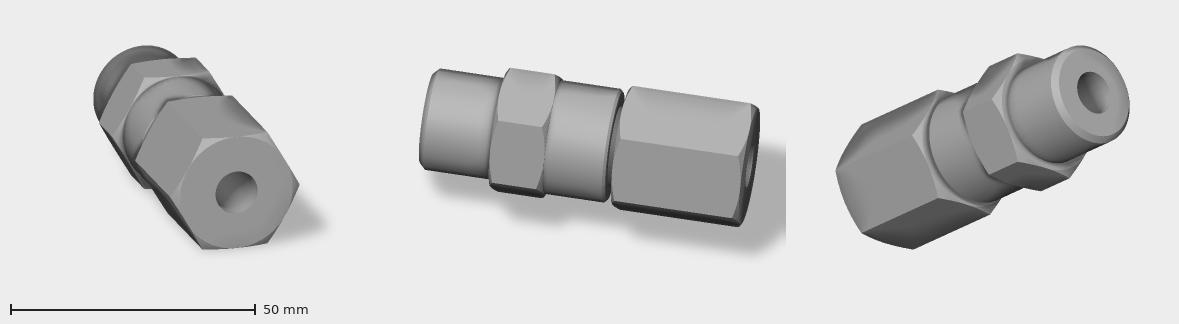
import cadquery as cq
import math


total_length = 67.0
spigot_length = 15.0
body_hex_end = 26.25
body_end = 39.0
end_hex_start = 40.4

bore_diameter = 9.0
spigot_diameter = 21.0
spigot_tip_diameter = 18.6
collar_diameter = 23.5
neck_diameter = 16.5
across_flats = 24.0
across_corners = across_flats / math.cos(math.radians(30))

spigot_chamfer = (spigot_diameter - spigot_tip_diameter) / 2
collar_chamfer = 0.55
hex_chamfer_angle = 30.0


def cylinder(start, end, diameter):
    """Solid cylinder on the X axis between two stations."""
    return cq.Workplane("YZ", origin=(start, 0, 0)).circle(diameter / 2).extrude(end - start)


def chamfered_hexagon(start, end):
    """Hexagon with flats facing Z, its corners turned down to the inscribed circle at both ends."""
    length = end - start
    hexagon = cq.Workplane("YZ", origin=(start, 0, 0)).polygon(6, across_corners).extrude(length)
    corner_depth = (across_corners - across_flats) / 2
    chamfer_length = corner_depth * math.tan(math.radians(hex_chamfer_angle))
    turned_envelope = (
        cylinder(start, end, across_corners)
        .faces("<X or >X")
        .chamfer(chamfer_length, corner_depth)
    )
    return hexagon.intersect(turned_envelope)


def make_body():
    """Male spigot, hexagon and round collar in one piece."""
    spigot = cylinder(0, spigot_length, spigot_diameter).faces("<X").chamfer(spigot_chamfer)
    collar = cylinder(body_hex_end, body_end, collar_diameter).faces(">X").chamfer(collar_chamfer)
    bore = cylinder(0, body_end, bore_diameter)
    return spigot.union(chamfered_hexagon(spigot_length, body_hex_end)).union(collar).cut(bore)


def make_end_piece():
    """Long hexagon with a neck that butts against the collar of the body."""
    neck = cylinder(body_end, end_hex_start, neck_diameter)
    bore = cylinder(body_end, total_length, bore_diameter)
    return neck.union(chamfered_hexagon(end_hex_start, total_length)).cut(bore)


body = make_body()
end_piece = make_end_piece()

result = cq.Compound.makeCompound([body.val(), end_piece.val()])